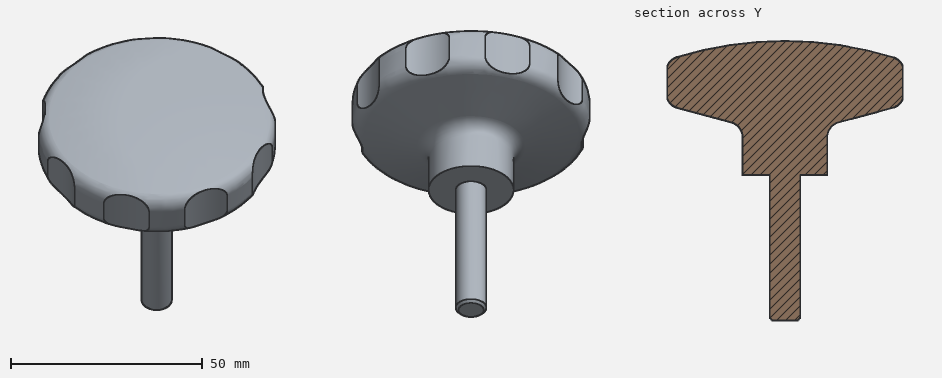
import cadquery as cq
import math

total_height = 73.0
stud_length = 37.95
hub_top = 47.8

stud_radius = 4.0
stud_chamfer = 0.7
hub_radius = 11.1
rim_radius = 31.0
edge_round = 4.0

underside_slope = math.radians(15.0)
dome_edge_slope = math.radians(17.0)

flute_count = 9
flute_depth = 1.8
flute_radius = 16.0
first_flute_angle = -90.0


def make_knob():
    """Revolved hub, neck and head, with every round tangent to its neighbours."""
    neck_outer_radius = hub_radius + edge_round * (1 - math.sin(underside_slope))
    neck_top = hub_top + edge_round * math.cos(underside_slope)

    underside_radius = rim_radius - edge_round * (1 - math.sin(underside_slope))
    rim_bottom = neck_top + (underside_radius - neck_outer_radius) * math.tan(underside_slope)
    band_bottom = rim_bottom + edge_round * math.cos(underside_slope)

    dome_radius = rim_radius - edge_round * (1 - math.sin(dome_edge_slope))
    sphere_radius = dome_radius / math.sin(dome_edge_slope)
    rim_top = total_height - sphere_radius * (1 - math.cos(dome_edge_slope))
    band_top = rim_top - edge_round * math.cos(dome_edge_slope)

    profile = (
        cq.Workplane("XZ")
        .moveTo(0, stud_length)
        .lineTo(hub_radius, stud_length)
        .lineTo(hub_radius, hub_top)
        .radiusArc((neck_outer_radius, neck_top), edge_round)
        .lineTo(underside_radius, rim_bottom)
        .radiusArc((rim_radius, band_bottom), -edge_round)
        .lineTo(rim_radius, band_top)
        .radiusArc((dome_radius, rim_top), -edge_round)
        .radiusArc((0, total_height), -sphere_radius)
        .close()
    )
    return profile.revolve(360, (0, 0, 0), (0, 1, 0))


def make_stud():
    """Chamfered stud, running up into the hub."""
    return cq.Workplane("XY").circle(stud_radius).extrude(hub_top).faces("<Z").chamfer(stud_chamfer)


def make_flutes():
    """Upright cylinders that scoop the finger flutes out of the rim."""
    pitch_radius = rim_radius - flute_depth + flute_radius
    return (
        cq.Workplane("XY")
        .workplane(offset=stud_length)
        .polarArray(pitch_radius, first_flute_angle, 360, flute_count)
        .circle(flute_radius)
        .extrude(total_height - stud_length, combine=False)
    )


knob = make_knob()
for flute in make_flutes().vals():
    knob = knob.cut(cq.Workplane(flute))

result = knob.union(make_stud())